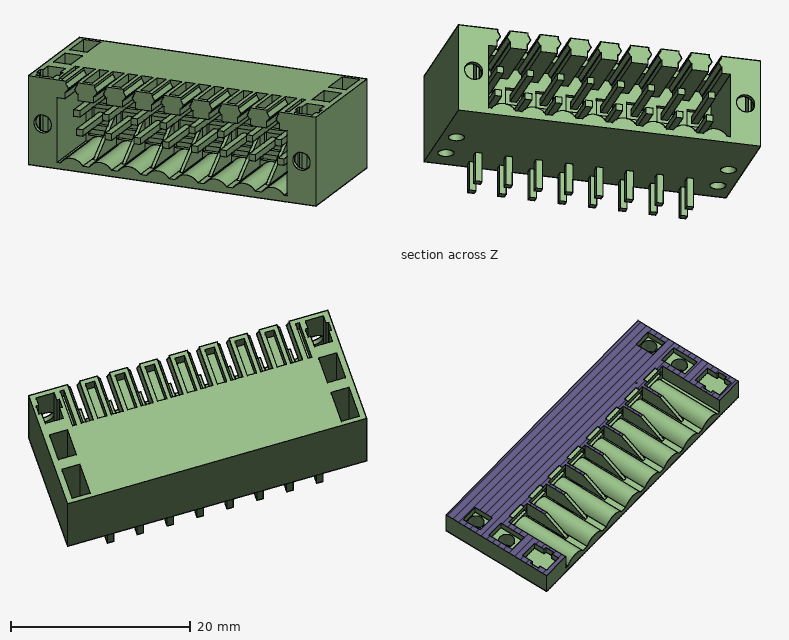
import cadquery as cq


POLES = 8
PITCH = 3.5
WIDTH = (POLES + 2) * PITCH
DEPTH = 14.2
HEIGHT = 10.5
FRONT_WALL = 0.53

CAVITY_WIDTH = POLES * PITCH
CAVITY_FLOOR = 0.75
CAVITY_TOP = 8.4
CAVITY_DEPTH = 8.0

RIDGE_WIDTH = 2.75
RIDGE_HEIGHT = 0.73

RIB_WIDTH = 0.4
RIB_TOP = 4.5
RIB_FOOT_Y = 2.5

GROOVE_MOUTH_WIDTH = 1.38
GROOVE_NECK_WIDTH = 0.75
GROOVE_STEP_WIDTH = 1.58
GROOVE_MOUTH_DEPTH = 0.3
GROOVE_NECK_DEPTH = 0.85
GROOVE_STEP_DEPTH = 1.35
GROOVE_MOUTH_Z = HEIGHT - GROOVE_MOUTH_DEPTH
GROOVE_NECK_Z = HEIGHT - GROOVE_NECK_DEPTH
GROOVE_STEP_Z = HEIGHT - GROOVE_STEP_DEPTH
GROOVE_LENGTH = 5.05

ROOF_POCKET_WIDTH = 1.1
END_SLOT_WIDTH = 0.45
ROOF_POCKET_DEPTH = 1.5

PIN_SIZE = 0.77
UPPER_PIN_TIP_Y = 1.5
LOWER_PIN_TIP_Y = 2.25
PIN_LENGTH_BELOW = 3.5
PIN_ROW_SPACING = 2.5
LOWER_PIN_Z = 3.8
LOWER_LEG_Y = 10.6
PIN_ROWS = [
    (LOWER_PIN_Z, LOWER_PIN_TIP_Y, LOWER_LEG_Y),
    (LOWER_PIN_Z + PIN_ROW_SPACING, UPPER_PIN_TIP_Y, LOWER_LEG_Y + PIN_ROW_SPACING),
]

SOCKET_SIZE = 2.03
BAR_WIDTH = 2.9
BAR_HEIGHT = 0.74
BAR_BOTTOM = CAVITY_FLOOR + RIDGE_HEIGHT
RECESS_DEPTH = 0.5

MOUNT_X = (WIDTH - PITCH) / 2
MOUNT_POCKET_WIDTH = 2.12
MOUNT_HOLE_DIAMETER = 1.8
REAR_POCKET_Y = (9.9, 13.7)
REAR_HOLE_Y = 11.3
REAR_LEDGE_Y = 12.24
REAR_LEDGE_Z = 6.0
MIDDLE_POCKET_Y = (5.38, 8.63)
MIDDLE_HOLE_Y = 7.0
NUT_POCKET_Y = (FRONT_WALL, 3.88)
NUT_WING_Y = (1.48, 2.52)
NUT_WING_WIDTH = 2.74
END_POCKET_FLOOR = 2.0
SCREW_HOLE_DIAMETER = 2.1
SCREW_HOLE_Z = 5.05

POLE_X = [(i - (POLES - 1) / 2) * PITCH for i in range(POLES)]
BETWEEN_POLES_X = [x + PITCH / 2 for x in POLE_X[:-1]]


def block(x_mid, x_size, y_range, z_range):
    """Box centred on x_mid, spanning the given Y and Z ranges."""
    y_min, y_max = y_range
    z_min, z_max = z_range
    box = cq.Workplane("XY").box(x_size, y_max - y_min, z_max - z_min, centered=(True, False, False))
    return box.translate((x_mid, y_min, z_min))


def floor_ridge(x):
    """Rounded ridge running front to back under one pole."""
    return (
        cq.Workplane("XZ")
        .moveTo(x - RIDGE_WIDTH / 2, CAVITY_FLOOR)
        .threePointArc((x, CAVITY_FLOOR + RIDGE_HEIGHT), (x + RIDGE_WIDTH / 2, CAVITY_FLOOR))
        .lineTo(x + RIDGE_WIDTH / 2, 0)
        .lineTo(x - RIDGE_WIDTH / 2, 0)
        .close()
        .extrude(-CAVITY_DEPTH)
    )


def sloped_rib(x):
    """Triangular rib rising from the cavity floor to the back wall."""
    profile = [(RIB_FOOT_Y, CAVITY_FLOOR), (CAVITY_DEPTH, CAVITY_FLOOR), (CAVITY_DEPTH, RIB_TOP)]
    return cq.Workplane("YZ").polyline(profile).close().extrude(RIB_WIDTH / 2, both=True).translate((x, 0, 0))


def coding_groove(x):
    """Groove waisted at its neck; below the neck it runs on to the back wall."""
    mouth = GROOVE_MOUTH_WIDTH / 2
    neck = GROOVE_NECK_WIDTH / 2
    upper = [
        (-mouth, HEIGHT),
        (-mouth, GROOVE_MOUTH_Z),
        (-neck, GROOVE_NECK_Z),
        (neck, GROOVE_NECK_Z),
        (mouth, GROOVE_MOUTH_Z),
        (mouth, HEIGHT),
    ]
    lower = [
        (-neck, GROOVE_NECK_Z),
        (-mouth, GROOVE_STEP_Z),
        (mouth, GROOVE_STEP_Z),
        (neck, GROOVE_NECK_Z),
    ]
    upper_cut = cq.Workplane("XZ").polyline(upper).close().extrude(-GROOVE_LENGTH)
    lower_cut = cq.Workplane("XZ").polyline(lower).close().extrude(-CAVITY_DEPTH)
    step_cut = block(0, GROOVE_STEP_WIDTH, (0, CAVITY_DEPTH), (CAVITY_TOP, GROOVE_STEP_Z))
    return upper_cut.union(lower_cut).union(step_cut).translate((x, 0, 0))


def roof_pocket(x, width):
    """Blind narrow pocket in the top face."""
    return block(x, width, (FRONT_WALL, GROOVE_LENGTH), (HEIGHT - ROOF_POCKET_DEPTH, HEIGHT))


def back_wall_recesses(x):
    """Square recess around each pin of a pole and a flat one above the floor ridge."""
    y_range = (CAVITY_DEPTH, CAVITY_DEPTH + RECESS_DEPTH)
    recesses = block(x, BAR_WIDTH, y_range, (BAR_BOTTOM, BAR_BOTTOM + BAR_HEIGHT))
    for pin_z, _, _ in PIN_ROWS:
        socket = block(x, SOCKET_SIZE, y_range, (pin_z - SOCKET_SIZE / 2, pin_z + SOCKET_SIZE / 2))
        recesses = recesses.union(socket)
    return recesses


def angled_pin(x, pin_z, tip_y, leg_y):
    """Square pin: a horizontal contact bent down into a solder leg."""
    half = PIN_SIZE / 2
    contact = block(x, PIN_SIZE, (tip_y, leg_y + half), (pin_z - half, pin_z + half))
    leg = block(x, PIN_SIZE, (leg_y - half, leg_y + half), (-PIN_LENGTH_BELOW, pin_z + half))
    return contact.union(leg)


def through_hole(x, y):
    """Vertical hole through the body."""
    return cq.Workplane("XY").center(x, y).circle(MOUNT_HOLE_DIAMETER / 2).extrude(HEIGHT)


def end_block_cuts(x):
    """Pockets, mounting holes and screw hole of one end block."""
    pocket_z = (END_POCKET_FLOOR, HEIGHT)
    rear_low = block(x, MOUNT_POCKET_WIDTH, (REAR_POCKET_Y[0], REAR_LEDGE_Y), pocket_z)
    rear_high = block(x, MOUNT_POCKET_WIDTH, (REAR_LEDGE_Y, REAR_POCKET_Y[1]), (REAR_LEDGE_Z, HEIGHT))
    middle = block(x, MOUNT_POCKET_WIDTH, MIDDLE_POCKET_Y, pocket_z)
    nut = block(x, MOUNT_POCKET_WIDTH, NUT_POCKET_Y, pocket_z)
    wings = block(x, NUT_WING_WIDTH, NUT_WING_Y, pocket_z)
    screw = (
        cq.Workplane("XZ")
        .center(x, SCREW_HOLE_Z)
        .circle(SCREW_HOLE_DIAMETER / 2)
        .extrude(-NUT_POCKET_Y[1])
    )
    cuts = rear_low.union(rear_high).union(middle).union(nut).union(wings).union(screw)
    return cuts.union(through_hole(x, REAR_HOLE_Y)).union(through_hole(x, MIDDLE_HOLE_Y))


def make_header():
    """Housing with its cuts, then ridges, ribs and pins added."""
    body = block(0, WIDTH, (0, DEPTH), (0, HEIGHT))
    body = body.cut(block(0, CAVITY_WIDTH, (0, CAVITY_DEPTH), (CAVITY_FLOOR, CAVITY_TOP)))

    for x in POLE_X:
        body = body.cut(coding_groove(x)).cut(back_wall_recesses(x)).union(floor_ridge(x))
    for x in BETWEEN_POLES_X:
        body = body.cut(roof_pocket(x, ROOF_POCKET_WIDTH)).union(sloped_rib(x))
    for side in (-1, 1):
        end_slot_x = side * (CAVITY_WIDTH - END_SLOT_WIDTH) / 2
        body = body.cut(roof_pocket(end_slot_x, END_SLOT_WIDTH))
        body = body.cut(end_block_cuts(side * MOUNT_X))
    for x in POLE_X:
        for pin_z, tip_y, leg_y in PIN_ROWS:
            body = body.union(angled_pin(x, pin_z, tip_y, leg_y))
    return body


result = make_header()